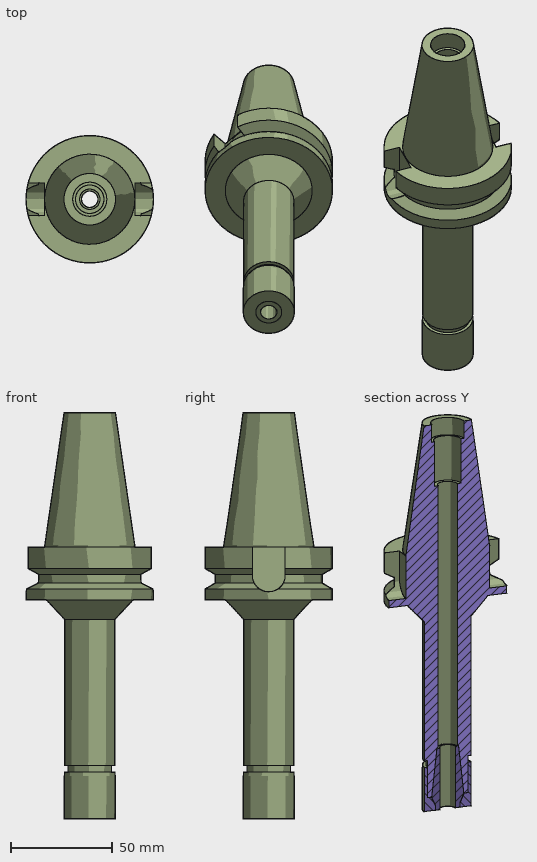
import cadquery as cq
import math

total_height = 200.5
gauge_z = 135.0
flange_top_z = 134.0
flange_bottom_z = 108.0
shank_top_z = 98.4
shank_bottom_z = 26.3
nut_height = 23.0

gauge_radius = 22.2
taper_ratio = 7 / 24
flange_radius = 31.5
cone_radius = 21.5
shank_radius = 12.5
neck_radius = 10.8

groove_radius = 26.5
groove_center_z = 118.5
groove_floor_width = 4.2
groove_side_angle = 30

slot_width = 16.2
slot_floor_x = 22.5
slot_bottom_z = 112.0

entry_radius = 8.5
entry_depth = 9.0
thread_radius = 7.0
thread_depth = 32.0
channel_radius = 5.0

nut_radius = 12.6
nut_chamfer_height = 2.0
nut_chamfer_inset = 0.2
neck_bottom_z = 7.0
collet_radius = 8.5
collet_back_radius = 5.6
collet_back_z = 32.0
collet_nose_radius = 6.5
collet_nose_z = 2.6
collet_bore_radius = 4.0


def revolve_outline(points):
    """Solid of revolution about Z from (radius, height) points."""
    return cq.Workplane("XZ").polyline(points).close().revolve(360, (0, 0), (0, 1))


def cylinder(radius, bottom, top):
    """Cylinder on the Z axis between two heights."""
    return cq.Workplane("XY").workplane(offset=bottom).circle(radius).extrude(top - bottom)


def make_collet_blank():
    """Outside shape of the collet: nose, short front cone and long back cone."""
    return revolve_outline([
        (0, 0),
        (collet_nose_radius, 0),
        (collet_nose_radius, collet_nose_z),
        (collet_radius, neck_bottom_z),
        (collet_back_radius, collet_back_z),
        (0, collet_back_z),
    ])


def make_drive_slot(side):
    """Round-bottomed slot cutter; side is +1 or -1 along X."""
    half_width = slot_width / 2
    arc_center_z = slot_bottom_z + half_width
    depth = flange_radius - slot_floor_x
    return (
        cq.Workplane("YZ")
        .workplane(offset=side * slot_floor_x)
        .moveTo(-half_width, flange_top_z)
        .lineTo(-half_width, arc_center_z)
        .threePointArc((0, slot_bottom_z), (half_width, arc_center_z))
        .lineTo(half_width, flange_top_z)
        .close()
        .extrude(side * depth)
    )


def make_holder():
    """Tapered tool holder with grooved flange, shank and threaded neck."""
    taper_end_radius = gauge_radius - (total_height - gauge_z) * taper_ratio / 2
    groove_half_floor = groove_floor_width / 2
    side_height = (flange_radius - groove_radius) * math.tan(math.radians(groove_side_angle))
    groove_half_mouth = groove_half_floor + side_height
    body = revolve_outline([
        (0, neck_bottom_z),
        (neck_radius, neck_bottom_z),
        (neck_radius, shank_bottom_z),
        (shank_radius, shank_bottom_z),
        (shank_radius, shank_top_z),
        (cone_radius, flange_bottom_z),
        (flange_radius, flange_bottom_z),
        (flange_radius, groove_center_z - groove_half_mouth),
        (groove_radius, groove_center_z - groove_half_floor),
        (groove_radius, groove_center_z + groove_half_floor),
        (flange_radius, groove_center_z + groove_half_mouth),
        (flange_radius, flange_top_z),
        (gauge_radius, flange_top_z),
        (gauge_radius, gauge_z),
        (taper_end_radius, total_height),
        (0, total_height),
    ])
    for side in (-1, 1):
        body = body.cut(make_drive_slot(side))
    body = body.cut(cylinder(entry_radius, total_height - entry_depth, total_height))
    body = body.cut(cylinder(thread_radius, total_height - thread_depth, total_height))
    body = body.cut(cylinder(channel_radius, neck_bottom_z, total_height))
    return body.cut(make_collet_blank())


def make_nut():
    """Clamping nut that encloses the neck and the front of the collet."""
    body = revolve_outline([
        (0, 0),
        (nut_radius, 0),
        (nut_radius, nut_height - nut_chamfer_height),
        (nut_radius - nut_chamfer_inset, nut_height),
        (0, nut_height),
    ])
    body = body.cut(cylinder(neck_radius, neck_bottom_z, nut_height))
    return body.cut(make_collet_blank())


def make_collet():
    """Double-cone collet with a straight through bore."""
    return make_collet_blank().cut(cylinder(collet_bore_radius, 0, collet_back_z))


holder = make_holder()
nut = make_nut()
collet = make_collet()

result = cq.Compound.makeCompound([holder.val(), nut.val(), collet.val()])